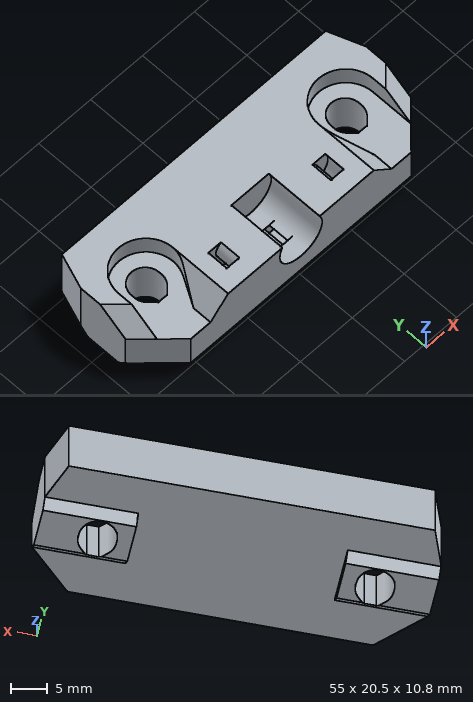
import cadquery as cq
import math

LENGTH = 55.0
DEPTH = 20.5
THICKNESS = 9.45
FRONT_CORNER = 6.25
REAR_CORNER_X = 2.1
REAR_CORNER_Y = 5.7

FOOT_HEIGHT = 1.3
FOOT_LENGTH = 13.0

SCREW_X = 19.25
RECESS_Y = 0.3
RECESS_RADIUS = 5.2
RECESS_DEPTH = 3.4
RECESS_TAPER = 30.0
HOLE_Y = 0.15
HOLE_RADIUS = 2.65
HOLE_STRETCH = 0.5
HOLE_FLAT = 1.7

BORE_RADIUS = 4.05
BORE_LENGTH = 9.75
BORE_DROP = 1.9

TIE_WIDTH = 3.5
TIE_CENTRE = 4.8
TIE_DROP = 1.8
TIE_INNER_HALF_LENGTH = 9.8
TIE_OVERLAP = 0.02
TIE_GAP = 2.0

END_X = LENGTH / 2
FRONT_Y = -DEPTH / 2
REAR_Y = DEPTH / 2
CORNER_Y = FRONT_Y + FRONT_CORNER
SHOULDER_Y = REAR_Y - REAR_CORNER_Y


def both_sides(left):
    """Return the left-hand shape joined with its mirror image."""
    return left.union(left.mirror("YZ"))


def make_plate():
    outline = [
        (-END_X + FRONT_CORNER, FRONT_Y),
        (END_X - FRONT_CORNER, FRONT_Y),
        (END_X, CORNER_Y),
        (END_X, SHOULDER_Y),
        (END_X - REAR_CORNER_X, REAR_Y),
        (-END_X + REAR_CORNER_X, REAR_Y),
        (-END_X, SHOULDER_Y),
        (-END_X, CORNER_Y),
    ]
    plate = cq.Workplane("XY").polyline(outline).close().extrude(THICKNESS)
    corner_middle_x = END_X - FRONT_CORNER / 2
    corner_middle_y = FRONT_Y + FRONT_CORNER / 2
    for side in (-1, 1):
        nearest = (side * corner_middle_x, corner_middle_y, THICKNESS)
        plate = plate.edges(cq.selectors.NearestToPointSelector(nearest)).chamfer(RECESS_DEPTH)
    return plate


def make_left_foot():
    """Bar along X with 45 degree flanks, flush with the end of the plate."""
    section = [
        (CORNER_Y, 0),
        (SHOULDER_Y, 0),
        (SHOULDER_Y - FOOT_HEIGHT, -FOOT_HEIGHT),
        (CORNER_Y + FOOT_HEIGHT, -FOOT_HEIGHT),
    ]
    return cq.Workplane("YZ", origin=(-END_X, 0, 0)).polyline(section).close().extrude(FOOT_LENGTH)


def make_left_recess():
    """Flat-bottomed recess with a round rear end and a 45 degree slope on its inner side."""
    taper = math.radians(RECESS_TAPER)
    tangent_x = RECESS_RADIUS * math.cos(taper)
    tangent_y = -RECESS_RADIUS * math.sin(taper)
    foot_x = RECESS_RADIUS - RECESS_DEPTH
    foot_y = -(RECESS_RADIUS - foot_x * math.cos(taper)) / math.sin(taper)
    front = FRONT_Y - RECESS_Y
    floor_z = THICKNESS - RECESS_DEPTH
    floor = (
        cq.Workplane("XY", origin=(-SCREW_X, RECESS_Y, floor_z))
        .moveTo(-RECESS_RADIUS, front)
        .lineTo(-RECESS_RADIUS, 0)
        .threePointArc((0, RECESS_RADIUS), (tangent_x, tangent_y))
        .lineTo(foot_x, foot_y)
        .lineTo(foot_x, front)
        .close()
        .extrude(RECESS_DEPTH)
    )
    slope = (
        cq.Workplane("XZ", origin=(-SCREW_X, RECESS_Y, floor_z))
        .polyline([(0, 0), (foot_x, 0), (RECESS_RADIUS, RECESS_DEPTH), (0, RECESS_DEPTH)])
        .close()
        .extrude(-front)
    )
    return floor.union(slope)


def make_left_hole():
    """Through hole: round at the rear, two 45 degree sides and a flat at the front."""
    side = HOLE_RADIUS * math.sqrt(0.5)
    rear_y = HOLE_STRETCH / 2
    front_y = -HOLE_STRETCH / 2
    flat_y = front_y - HOLE_RADIUS * math.sqrt(2) + HOLE_FLAT / 2
    return (
        cq.Workplane("XY", origin=(-SCREW_X, HOLE_Y, -FOOT_HEIGHT))
        .moveTo(-HOLE_RADIUS, rear_y)
        .threePointArc((0, rear_y + HOLE_RADIUS), (HOLE_RADIUS, rear_y))
        .lineTo(HOLE_RADIUS, front_y)
        .radiusArc((side, front_y - side), HOLE_RADIUS)
        .lineTo(HOLE_FLAT / 2, flat_y)
        .lineTo(-HOLE_FLAT / 2, flat_y)
        .lineTo(-side, front_y - side)
        .radiusArc((-HOLE_RADIUS, front_y), HOLE_RADIUS)
        .close()
        .extrude(THICKNESS + FOOT_HEIGHT)
    )


def make_bore():
    front_centre = (0, FRONT_Y, THICKNESS - BORE_DROP)
    return cq.Workplane("XZ", origin=front_centre).circle(BORE_RADIUS).extrude(-BORE_LENGTH)


def make_tie_channel():
    bore_floor_depth = BORE_DROP + BORE_RADIUS
    inner_half_height = bore_floor_depth - TIE_DROP - TIE_OVERLAP
    start_y = FRONT_Y + TIE_CENTRE - TIE_WIDTH / 2
    return (
        cq.Workplane("XZ", origin=(0, start_y, THICKNESS - TIE_DROP))
        .ellipse(TIE_INNER_HALF_LENGTH + TIE_GAP, inner_half_height + TIE_GAP)
        .ellipse(TIE_INNER_HALF_LENGTH, inner_half_height)
        .extrude(-TIE_WIDTH)
    )


result = (
    make_plate()
    .union(both_sides(make_left_foot()))
    .cut(both_sides(make_left_recess()))
    .cut(both_sides(make_left_hole()))
    .cut(make_bore())
    .cut(make_tie_channel())
)